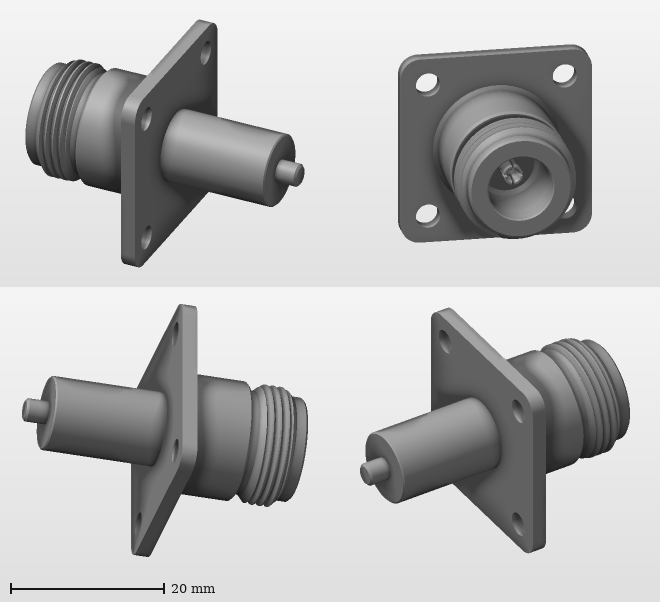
import cadquery as cq
import math


total_length = 36.6
nose_end = 1.57
thread_end = 6.55
body_start = 7.72
body_end = 16.15
flange_start = 16.65
flange_thickness = 2.0
flange_end = flange_start + flange_thickness
barrel_end = 33.65

neck_radius = 6.88
crest_radius = 7.9
body_radius = 7.9
flare_large_radius = 8.45
barrel_radius = 4.9
pin_radius = 1.55
edge_chamfer = 0.3
barrel_chamfer = 0.2

pitch = 1.05
root_radius = 7.25
root_flat = 0.1
groove_start = 1.05
groove_turns = 5.3
flank_angle = math.radians(30)
cutter_overshoot = 0.07

flange_side = 25.4
corner_radius = 2.53
hole_spacing = 18.2
hole_diameter = 3.22

bore_radius = 4.3
bore_chamfer = 0.2
floor_radius = 3.75
floor_depth = 9.9
floor_cone_length = 0.55
contact_tip = 5.12
contact_radius = 1.28
contact_hole_radius = 0.77
contact_hole_depth = 4.03
contact_chamfer = 0.25
slot_width = 0.33
slot_depth = 2.93


def revolve_about_x(points):
    """Revolve a closed (x, radius) outline about the X axis."""
    return cq.Workplane("XY").polyline(points).close().revolve(360, (0, 0, 0), (1, 0, 0))


def make_thread_groove():
    """Right-handed helical V cutter, swept along Z and then turned onto X."""
    outer_radius = crest_radius + cutter_overshoot
    root_half = root_flat / 2
    outer_half = root_half + (outer_radius - root_radius) * math.tan(flank_angle)
    helix = cq.Wire.makeHelix(pitch, groove_turns * pitch, root_radius)
    groove = (
        cq.Workplane("XZ")
        .polyline([
            (root_radius, -root_half),
            (outer_radius, -outer_half),
            (outer_radius, outer_half),
            (root_radius, root_half),
        ])
        .close()
        .sweep(cq.Workplane(obj=helix), isFrenet=True)
    )
    return groove.rotate((0, 0, 0), (0, 1, 0), 90).translate((groove_start, 0, 0))


def make_threaded_end():
    """Threaded cylinder trimmed to the nose, the thread's end cones and the relief neck."""
    thread_rise = crest_radius - neck_radius
    envelope = revolve_about_x([
        (0, 0),
        (0, neck_radius - edge_chamfer),
        (edge_chamfer, neck_radius),
        (nose_end, neck_radius),
        (nose_end + thread_rise, crest_radius),
        (thread_end - thread_rise, crest_radius),
        (thread_end, neck_radius),
        (body_start, neck_radius),
        (body_start, 0),
    ])
    cylinder = cq.Workplane("YZ").circle(crest_radius).extrude(body_start)
    return cylinder.cut(make_thread_groove()).intersect(envelope)


def make_body():
    """Plain body, flare, rear barrel and solder pin."""
    return revolve_about_x([
        (body_start, 0),
        (body_start, body_radius - edge_chamfer),
        (body_start + edge_chamfer, body_radius),
        (body_end, body_radius),
        (flange_start, flare_large_radius),
        (flange_end, flare_large_radius),
        (flange_end, barrel_radius),
        (barrel_end - barrel_chamfer, barrel_radius),
        (barrel_end, barrel_radius - barrel_chamfer),
        (barrel_end, pin_radius),
        (total_length - edge_chamfer, pin_radius),
        (total_length, pin_radius - edge_chamfer),
        (total_length, 0),
    ])


def make_flange():
    return (
        cq.Workplane("YZ", origin=(flange_start, 0, 0))
        .rect(flange_side, flange_side)
        .extrude(flange_thickness)
        .edges("|X")
        .fillet(corner_radius)
        .faces("<X")
        .workplane()
        .rect(hole_spacing, hole_spacing, forConstruction=True)
        .vertices()
        .hole(hole_diameter)
    )


def make_socket():
    return revolve_about_x([
        (0, 0),
        (0, bore_radius + bore_chamfer),
        (bore_chamfer, bore_radius),
        (floor_depth - floor_cone_length, bore_radius),
        (floor_depth, floor_radius),
        (floor_depth, 0),
    ])


def make_contact():
    """Slotted tube standing on the socket floor."""
    contact = revolve_about_x([
        (contact_tip, contact_hole_radius + contact_chamfer),
        (contact_tip, contact_radius),
        (flange_start, contact_radius),
        (flange_start, 0),
        (contact_tip + contact_hole_depth, 0),
        (contact_tip + contact_hole_depth, contact_hole_radius),
        (contact_tip + contact_chamfer, contact_hole_radius),
    ])
    for angle in (0, 90):
        slot = (
            cq.Workplane("YZ", origin=(contact_tip, 0, 0))
            .transformed(rotate=(0, 0, angle))
            .rect(2 * contact_radius, slot_width)
            .extrude(slot_depth)
        )
        contact = contact.cut(slot)
    return contact


shell = make_threaded_end().union(make_body()).union(make_flange())
result = shell.cut(make_socket()).union(make_contact())